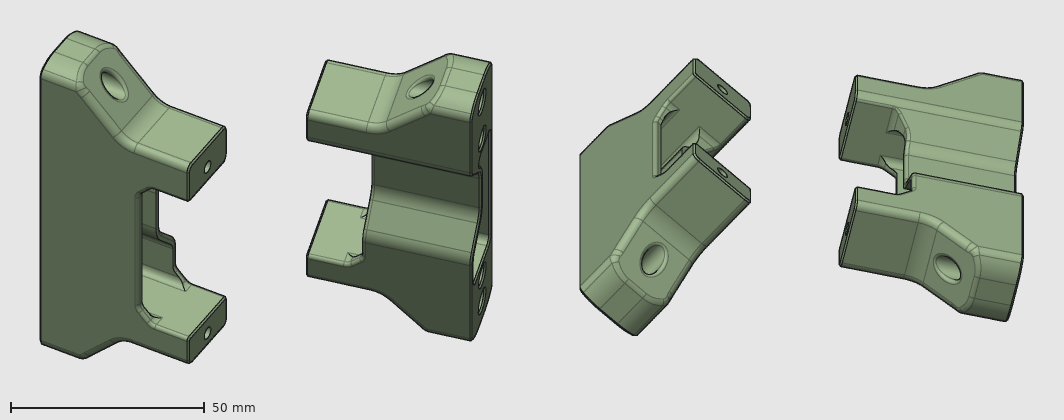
import cadquery as cq
import math

length = 44.4
width = 20.0
height = 96.8
half_width = width / 2

upper_end_length = 9.9
lower_end_length = 10.9
upper_arm_top = 81.3
upper_arm_bottom = 69.2
lower_arm_top = 23.1
lower_arm_bottom = 13.7
web_depth = 29.4
gap_chamfer = 3.9
gap_corner_radius = 2.5
shoulder_radius = 7.0

end_flat_half_width = 3.1
end_radius = 10.3
end_corner_radius = 2.7

recess_floor_y = 1.3
recess_top = 70.6
recess_bottom = 36.1
recess_inner_radius = 6.0
recess_upper_radius = 4.0
recess_lower_radius = 5.0

wall = 2.0
window_radius = 2.0

outer_fillet = 2.0
gap_fillet = 1.0
edge_chamfer = 0.5

end_hole_diameter = 5.4
end_bore_diameter = 6.4
end_bore_depth = 7.7
end_hole_fillet = 1.0
end_hole_heights = (7.65, 89.5)
bolt_hole_diameter = 3.4
bolt_bore_diameter = 6.2
bolt_bore_depth = 29.05
bolt_hole_y = -0.2
bolt_hole_heights = (17.9, 74.3)

tolerance = 0.01


def round_corners(solid, corners, axis):
    """Fillet the straight edges along an axis that pass through (u, v, radius) corners."""
    for u, v, radius in corners:
        def passes_through(edge):
            c = edge.Center()
            first, second = (c.x, c.z) if axis == "Y" else (c.y, c.z)
            return math.hypot(first - u, second - v) < tolerance

        edges = [e for e in solid.edges("|" + axis).vals() if passes_through(e)]
        solid = solid.newObject(edges).fillet(radius)
    return solid


def side_shape():
    """Side outline with the two arms, extruded across the full width."""
    upper_root = upper_end_length + height - upper_arm_top
    lower_root = lower_end_length + lower_arm_bottom
    gap_x = web_depth + gap_chamfer
    points = [
        (0, 0),
        (lower_end_length, 0),
        (lower_root, lower_arm_bottom),
        (length, lower_arm_bottom),
        (length, lower_arm_top),
        (gap_x, lower_arm_top),
        (web_depth, lower_arm_top + gap_chamfer),
        (web_depth, upper_arm_bottom - gap_chamfer),
        (gap_x, upper_arm_bottom),
        (length, upper_arm_bottom),
        (length, upper_arm_top),
        (upper_root, upper_arm_top),
        (upper_end_length, height),
        (0, height),
    ]
    solid = cq.Workplane("XZ").polyline(points).close().extrude(half_width, both=True)
    corners = [(x, z, gap_corner_radius) for x, z in points[5:9]]
    corners.append((lower_root, lower_arm_bottom, shoulder_radius))
    corners.append((upper_root, upper_arm_top, shoulder_radius))
    return round_corners(solid, corners, "Y")


def face_shape():
    """Rounded-end outline of the mounting face, extruded over the full length."""
    corner_y = half_width - end_corner_radius
    centre_gap = end_radius - end_corner_radius
    centre_rise = math.sqrt(centre_gap**2 - (corner_y - end_flat_half_width) ** 2)
    side_drop = end_radius - centre_rise
    angle = math.atan2(centre_rise, corner_y - end_flat_half_width)
    middle = (angle + math.pi / 2) / 2

    def end_point(radius, centre_y, centre_drop, turn):
        return centre_y + radius * math.cos(turn), centre_drop - radius * math.sin(turn)

    large_mid = end_point(end_radius, end_flat_half_width, end_radius, middle)
    joint = end_point(end_radius, end_flat_half_width, end_radius, angle)
    small_mid = end_point(end_corner_radius, corner_y, side_drop, angle / 2)

    def top(p):
        return p[0], height - p[1]

    def flip(p):
        return -p[0], p[1]

    flat = (end_flat_half_width, 0)
    side = (half_width, side_drop)
    flank = half_width - recess_floor_y
    return (
        cq.Workplane("YZ")
        .moveTo(*flip(flat))
        .lineTo(*flat)
        .threePointArc(large_mid, joint)
        .threePointArc(small_mid, side)
        .lineTo(half_width, recess_bottom)
        .lineTo(recess_floor_y, recess_bottom + flank)
        .lineTo(recess_floor_y, recess_top - flank)
        .lineTo(half_width, recess_top)
        .lineTo(*top(side))
        .threePointArc(top(small_mid), top(joint))
        .threePointArc(top(large_mid), top(flat))
        .lineTo(*top(flip(flat)))
        .threePointArc(top(flip(large_mid)), top(flip(joint)))
        .threePointArc(top(flip(small_mid)), top(flip(side)))
        .lineTo(*flip(side))
        .threePointArc(flip(small_mid), flip(joint))
        .threePointArc(flip(large_mid), flip(flat))
        .close()
        .extrude(length)
    )


def rounded_face_shape():
    """Face outline with the bends of the recess rounded."""
    flank = half_width - recess_floor_y
    corners = [
        (half_width, recess_bottom, recess_lower_radius),
        (recess_floor_y, recess_bottom + flank, recess_inner_radius),
        (recess_floor_y, recess_top - flank, recess_inner_radius),
        (half_width, recess_top, recess_upper_radius),
    ]
    return round_corners(face_shape(), corners, "X")


def window():
    """Opening between the arms that follows the recess at a constant wall thickness."""
    diagonal_shift = wall * math.tan(math.pi / 8)
    left = half_width - wall
    inner = recess_floor_y - wall
    flank = half_width - recess_floor_y
    lower_bend = recess_bottom - diagonal_shift
    upper_bend = recess_top - flank + diagonal_shift
    top_y = inner + upper_arm_bottom - upper_bend
    points = [
        (-left, lower_arm_top),
        (left, lower_arm_top),
        (left, lower_bend),
        (inner, lower_bend + flank),
        (inner, upper_bend),
        (top_y, upper_arm_bottom),
        (-left, upper_arm_bottom),
    ]
    radii = [
        window_radius,
        window_radius,
        recess_lower_radius - wall,
        recess_inner_radius + wall,
        recess_inner_radius + wall,
        window_radius,
        window_radius,
    ]
    solid = cq.Workplane("YZ").polyline(points).close().extrude(length)
    return round_corners(solid, [(y, z, r) for (y, z), r in zip(points, radii)], "X")


def fillet_outside(solid):
    """Round the shoulders and the outer edges of the arms."""
    def on_shoulder(edge):
        box = edge.BoundingBox()
        beyond_arm = box.zmin > upper_arm_top - tolerance or box.zmax < lower_arm_bottom + tolerance
        return beyond_arm and box.xmin > tolerance and box.xmin < length - tolerance

    return solid.newObject([e for e in solid.edges().vals() if on_shoulder(e)]).fillet(outer_fillet)


def fillet_gap(solid):
    """Round the edges around the gap between the arms."""
    def on_gap(edge):
        box = edge.BoundingBox()
        between = box.zmin > lower_arm_top - tolerance and box.zmax < upper_arm_bottom + tolerance
        behind = web_depth - tolerance < box.xmin < length - tolerance
        return between and behind

    return solid.newObject([e for e in solid.edges("not |Y").vals() if on_gap(e)]).fillet(gap_fillet)


def cut_stepped_hole(solid, y, z, bore_diameter, bore_depth, diameter):
    """Cut a bore from the mounting face and a narrower through hole with a chamfered entry."""
    entry_diameter = diameter + 2 * edge_chamfer
    axis = cq.Vector(1, 0, 0)
    face_point = cq.Vector(0, y, z)
    floor_point = cq.Vector(bore_depth, y, z)
    bore = cq.Solid.makeCylinder(bore_diameter / 2, bore_depth, face_point, axis)
    through = cq.Solid.makeCylinder(diameter / 2, length, face_point, axis)
    entry = cq.Solid.makeCone(entry_diameter / 2, diameter / 2, edge_chamfer, floor_point, axis)
    return solid.cut(bore).cut(through).cut(entry)


def chamfer_ends(solid):
    """Chamfer the mounting face with all its openings, then the outlines of the arm tips."""
    solid = solid.faces("<X").edges().chamfer(edge_chamfer)
    return solid.faces(">X").edges("not %CIRCLE").chamfer(edge_chamfer)


def fillet_shoulder_rims(solid):
    """Round the rims where the end holes break out through the shoulders."""
    def is_rim(edge):
        c = edge.Center()
        near_axis = any(math.hypot(c.y, c.z - z) < end_hole_diameter / 2 for z in end_hole_heights)
        return near_axis and c.x > upper_end_length and edge.geomType() != "LINE"

    rims = [e for e in solid.edges().vals() if is_rim(e)]
    return solid.newObject(rims).fillet(end_hole_fillet)


body = side_shape().intersect(rounded_face_shape())
body = fillet_outside(body)
body = fillet_gap(body)
body = body.cut(window())
for hole_z in bolt_hole_heights:
    body = cut_stepped_hole(body, bolt_hole_y, hole_z, bolt_bore_diameter, bolt_bore_depth, bolt_hole_diameter)
for hole_z in end_hole_heights:
    body = cut_stepped_hole(body, 0, hole_z, end_bore_diameter, end_bore_depth, end_hole_diameter)
body = chamfer_ends(body)
result = fillet_shoulder_rims(body)